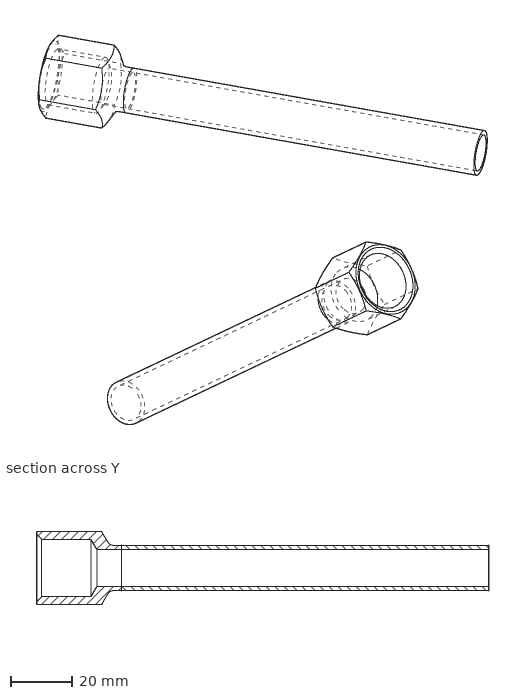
import cadquery as cq
import math

total_length = 148.0
tube_diameter = 15.0
bore_diameter = 12.0

across_flats = 24.0
nut_length = 27.8
rear_corner_x = 20.3
neck_fillet = 2.2
front_face_diameter = 23.7
cone_angle = math.radians(30)

mouth_diameter = 21.9
socket_diameter = 18.6
mouth_depth = 1.6
socket_depth = 17.8
socket_floor_angle = math.radians(60)

across_corners = across_flats / math.cos(math.radians(30))
corner_radius = across_corners / 2
tube_radius = tube_diameter / 2
bore_radius = bore_diameter / 2
socket_radius = socket_diameter / 2
floor_end_x = socket_depth + (socket_radius - bore_radius) / math.tan(socket_floor_angle)


def nut_envelope():
    """Turned outside shape: front chamfer, rear cone, filleted neck."""
    front_radius = front_face_diameter / 2
    front_chamfer_x = (corner_radius - front_radius) * math.tan(cone_angle)
    arc_start_radius = tube_radius + neck_fillet * (1 - math.sin(cone_angle))
    arc_start_x = rear_corner_x + (corner_radius - arc_start_radius) * math.tan(cone_angle)
    arc_end_x = arc_start_x + neck_fillet * math.cos(cone_angle)
    middle_angle = (math.pi / 2 + cone_angle) / 2
    arc_middle = (
        arc_end_x - neck_fillet * math.cos(middle_angle),
        tube_radius + neck_fillet * (1 - math.sin(middle_angle)),
    )
    return (
        cq.Workplane("XY")
        .moveTo(0, 0)
        .lineTo(0, front_radius)
        .lineTo(front_chamfer_x, corner_radius)
        .lineTo(rear_corner_x, corner_radius)
        .lineTo(arc_start_x, arc_start_radius)
        .threePointArc(arc_middle, (arc_end_x, tube_radius))
        .lineTo(nut_length, tube_radius)
        .lineTo(nut_length, 0)
        .close()
        .revolve(360, (0, 0, 0), (1, 0, 0))
    )


def nut_cavity():
    """Tapered mouth, straight socket, conical floor and through bore."""
    return (
        cq.Workplane("XY")
        .moveTo(0, 0)
        .lineTo(0, mouth_diameter / 2)
        .lineTo(mouth_depth, socket_radius)
        .lineTo(socket_depth, socket_radius)
        .lineTo(floor_end_x, bore_radius)
        .lineTo(nut_length, bore_radius)
        .lineTo(nut_length, 0)
        .close()
        .revolve(360, (0, 0, 0), (1, 0, 0))
    )


def make_nut():
    """Hexagonal nut with two corners on the Y axis."""
    hexagon = cq.Workplane("YZ").polygon(6, across_corners).extrude(nut_length)
    return hexagon.intersect(nut_envelope()).cut(nut_cavity())


def make_tube():
    """Plain tube butting against the end of the nut neck."""
    return (
        cq.Workplane("YZ", origin=(nut_length, 0, 0))
        .circle(tube_radius)
        .circle(bore_radius)
        .extrude(total_length - nut_length)
    )


nut = make_nut()
tube = make_tube()

result = cq.Compound.makeCompound([nut.val(), tube.val()])